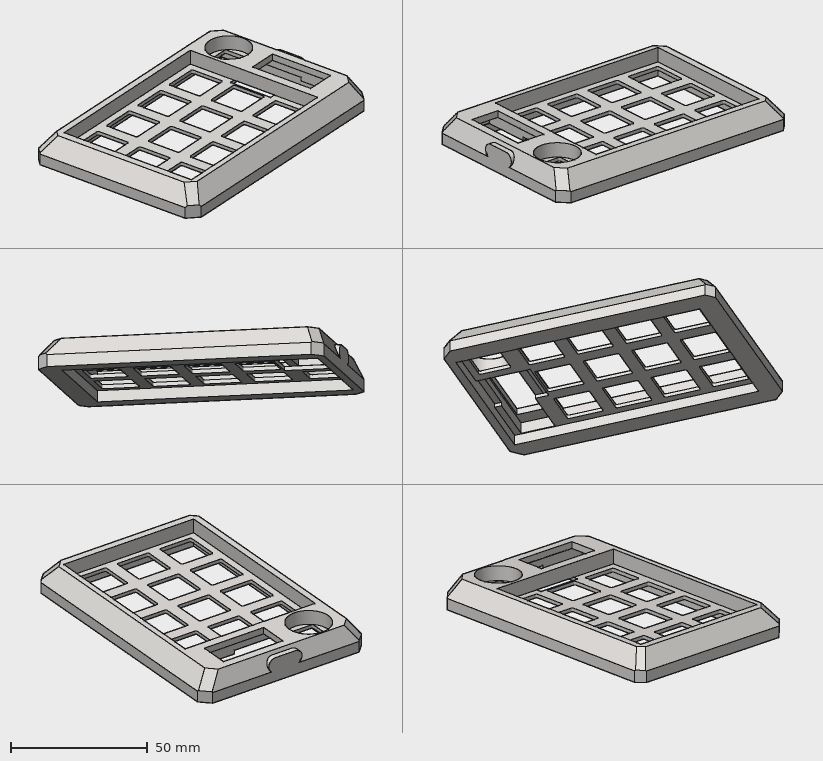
import cadquery as cq
import math

LENGTH = 107.2
WIDTH = 73.6
HEIGHT = 11.5
HALF_LENGTH = LENGTH / 2
HALF_WIDTH = WIDTH / 2
RIM_HEIGHT = 4.5
SIDE_INSET = 5.0
BACK_INSET = 3.0

CORNERS = [
    (-1, 1, 4.0, 11.6, 4.8),
    (1, 1, 4.0, 11.6, 4.8),
    (-1, -1, 3.0, 12.4, 4.8),
    (1, -1, 4.2, 13.5, 5.3),
]

GRID_X = 0.2
COLUMNS = 3
ROWS = 4
PITCH = 19.1
KEY_HOLE = 14.0
KEY_HOLE_RADIUS = 0.5
TOP_ROW_Y = 21.3
KEY_POCKET_WIDTH = 58.2
KEY_POCKET_BACK = 31.3
KEY_POCKET_FRONT = -45.5
PLATE_TOP = 5.7
PLATE_THICKNESS = 1.5
PLATE_BOTTOM = PLATE_TOP - PLATE_THICKNESS

KNOB_X = GRID_X - PITCH
KNOB_Y = 41.4
KNOB_DIAMETER = 17.5
KNOB_HOLE = 12.4
KNOB_HOLE_RADIUS = 0.5

WINDOW_X = 10.1
WINDOW_Y = 41.1
WINDOW_WIDTH = 26.6
WINDOW_LENGTH = 12.1
DISPLAY_POCKET_WIDTH = 37.7
DISPLAY_POCKET_LENGTH = 13.3
DISPLAY_POCKET_TOP = 8.8

CAVITY_WIDTH = KEY_POCKET_WIDTH
CAVITY_BACK = 50.4
CAVITY_FRONT = KEY_POCKET_FRONT
BOARD_WIDTH = 18.4
BOARD_FRONT = 29.2

BOSS_WIDTH = 14.9
BOSS_HEIGHT = 6.0
BOSS_TOP = 10.0
BOSS_DEPTH = 3.2


def block(x_center, width, y_front, y_back, z_bottom, z_top):
    """Box given by its middle in X and its limits in Y and Z."""
    return (
        cq.Workplane("XY", origin=(x_center, (y_front + y_back) / 2, z_bottom))
        .box(width, y_back - y_front, z_top - z_bottom, centered=(True, True, False))
    )


def slope_cutter(angle, face_distance, start_height, inset):
    """Wedge outside a plane that leans in by `inset` from `start_height` to the top.

    `angle` is the outward direction in plan, `face_distance` the distance from
    the origin to the plane at `start_height`.
    """
    wedge = (
        cq.Workplane("XZ")
        .moveTo(face_distance, start_height)
        .lineTo(face_distance - inset, HEIGHT)
        .lineTo(face_distance + LENGTH, HEIGHT)
        .lineTo(face_distance + LENGTH, start_height)
        .close()
        .extrude(LENGTH, both=True)
    )
    return wedge.rotate((0, 0, 0), (0, 0, 1), angle)


def outer_body():
    body = block(0, WIDTH, -HALF_LENGTH, HALF_LENGTH, 0, HEIGHT)
    body = body.cut(slope_cutter(0, HALF_WIDTH, RIM_HEIGHT, SIDE_INSET))
    body = body.cut(slope_cutter(180, HALF_WIDTH, RIM_HEIGHT, SIDE_INSET))
    body = body.cut(slope_cutter(90, HALF_LENGTH, RIM_HEIGHT, BACK_INSET))
    body = body.cut(slope_cutter(270, HALF_LENGTH, RIM_HEIGHT, SIDE_INSET))
    for x_sign, y_sign, leg, top_leg, start_height in CORNERS:
        angle = math.degrees(math.atan2(y_sign, x_sign))
        face_distance = (HALF_WIDTH + HALF_LENGTH - leg) / math.sqrt(2)
        inset = (top_leg - leg) / math.sqrt(2)
        body = body.cut(slope_cutter(angle, face_distance, start_height, inset))
        x_corner = x_sign * HALF_WIDTH
        y_corner = y_sign * HALF_LENGTH
        vertical_cut = (
            cq.Workplane("XY")
            .moveTo(x_corner, y_corner)
            .lineTo(x_corner - x_sign * leg, y_corner)
            .lineTo(x_corner, y_corner - y_sign * leg)
            .close()
            .extrude(HEIGHT)
        )
        body = body.cut(vertical_cut)
    return body


def connector_boss():
    """Flat-ended bar with round sides, its end flush with the back."""
    return (
        cq.Workplane("XZ", origin=(GRID_X, HALF_LENGTH, BOSS_TOP - BOSS_HEIGHT / 2))
        .slot2D(BOSS_WIDTH, BOSS_HEIGHT)
        .extrude(BOSS_DEPTH)
    )


def rounded_hole(x, y, size, radius):
    return (
        block(x, size, y - size / 2, y + size / 2, 0, HEIGHT)
        .edges("|Z")
        .fillet(radius)
    )


result = outer_body().union(connector_boss())

result = result.cut(block(GRID_X, CAVITY_WIDTH, CAVITY_FRONT, CAVITY_BACK, 0, PLATE_BOTTOM))
result = result.cut(block(GRID_X, BOARD_WIDTH, BOARD_FRONT, CAVITY_BACK, 0, PLATE_TOP))
result = result.cut(
    block(
        WINDOW_X,
        DISPLAY_POCKET_WIDTH,
        WINDOW_Y - DISPLAY_POCKET_LENGTH / 2,
        WINDOW_Y + DISPLAY_POCKET_LENGTH / 2,
        0,
        DISPLAY_POCKET_TOP,
    )
)

result = result.cut(
    block(
        WINDOW_X,
        WINDOW_WIDTH,
        WINDOW_Y - WINDOW_LENGTH / 2,
        WINDOW_Y + WINDOW_LENGTH / 2,
        0,
        HEIGHT,
    )
)

result = result.cut(
    cq.Workplane("XY", origin=(KNOB_X, KNOB_Y, PLATE_TOP))
    .circle(KNOB_DIAMETER / 2)
    .extrude(HEIGHT - PLATE_TOP)
)
result = result.cut(rounded_hole(KNOB_X, KNOB_Y, KNOB_HOLE, KNOB_HOLE_RADIUS))

result = result.cut(
    block(GRID_X, KEY_POCKET_WIDTH, KEY_POCKET_FRONT, KEY_POCKET_BACK, PLATE_TOP, HEIGHT)
)
for column in range(COLUMNS):
    key_x = GRID_X + (column - (COLUMNS - 1) / 2) * PITCH
    for row in range(ROWS):
        key_y = TOP_ROW_Y - row * PITCH
        result = result.cut(rounded_hole(key_x, key_y, KEY_HOLE, KEY_HOLE_RADIUS))